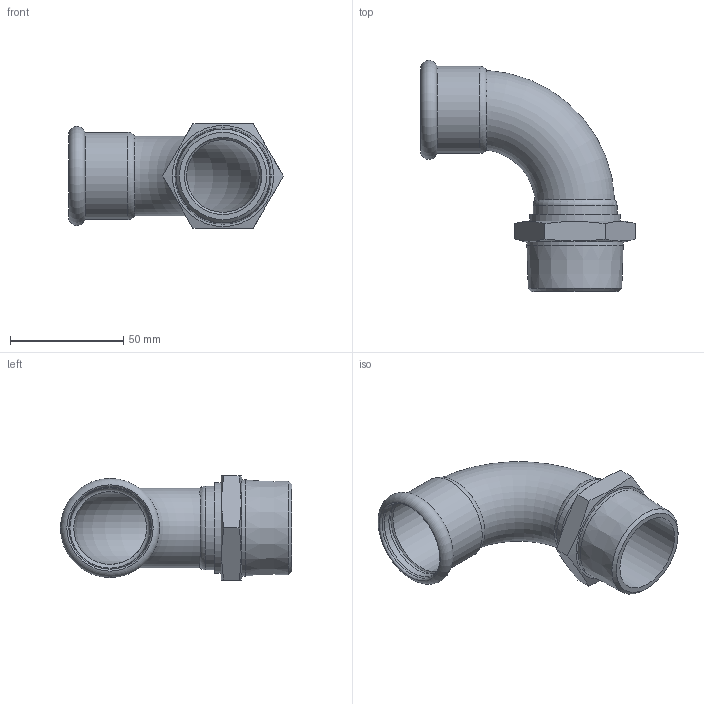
import cadquery as cq
import math

tube_radius = 35.0 / 2
tube_bore_radius = 32.0 / 2
bend_radius = 42.0
shoulder_overlap = 0.3

socket_mouth = 68.0
socket_radius = 38.4 / 2
socket_bore_radius = 35.4 / 2
socket_depth = 26.0
socket_shoulder_round = 3.68
bead_radius = 43.68 / 2
bead_width = 7.2
bead_face_radius = 38.0 / 2
mouth_radius = 36.6 / 2
mouth_round_depth = 1.1
seal_radius = 35.8 / 2
seal_start = 2.0
seal_end = 4.9
groove_radius = 37.0 / 2
groove_back = 6.6

outlet_face = 80.0
collar_radius = 37.0 / 2
collar_end = 42.1
collar_shoulder_round = 3.6
flange_radius = 40.0 / 2
flange_start = 46.0
hex_start = 49.0
hex_end = 58.0
hex_across_flats = 46.0
hex_chamfer_radius = 44.6 / 2
hex_chamfer_angle = 15.0
thread_radius = 42.4 / 2
thread_start = 59.6
thread_small_radius = 41.2 / 2
thread_chamfer_length = 1.4
thread_end_radius = 38.4 / 2
outlet_bore_radius = 34.0 / 2


def shoulder_arc(radius, height):
    """Length, middle run and middle drop of an arc that leaves a cylinder tangentially."""
    angle = math.acos(1 - height / radius)
    return radius * math.sin(angle), radius * math.sin(angle / 2), radius * (1 - math.cos(angle / 2))


def revolve_inlet(profile):
    """Turn a (x, radius) profile about the inlet axis."""
    return profile.close().revolve(360, (0, 0, 0), (1, 0, 0))


def revolve_outlet(profile):
    """Turn a (radius, y) profile about the outlet axis."""
    return profile.close().revolve(360, (0, 0, 0), (0, 1, 0))


def bend(radius):
    """Quarter-circle sweep of a disc from the inlet axis to the outlet axis."""
    return (
        cq.Workplane("YZ", origin=(-bend_radius, 0, 0))
        .circle(radius)
        .revolve(90, (-bend_radius, 0, 0), (-bend_radius, -1, 0))
    )


def socket_body():
    """Socket with its rolled bead at the mouth and rounded shoulder down to the tube."""
    mouth = -socket_mouth
    inner_radius = tube_radius - shoulder_overlap
    length, run, drop = shoulder_arc(socket_shoulder_round, socket_radius - inner_radius)
    shoulder = mouth + socket_depth
    return revolve_inlet(
        cq.Workplane("XY")
        .moveTo(mouth, 0)
        .lineTo(mouth, bead_face_radius)
        .threePointArc((mouth + bead_width / 2, bead_radius), (mouth + bead_width, socket_radius))
        .lineTo(shoulder, socket_radius)
        .threePointArc((shoulder + run, socket_radius - drop), (shoulder + length, inner_radius))
        .lineTo(shoulder + length, 0)
    )


def socket_bore():
    """Inside of the socket: rounded mouth, seal seat, groove and shoulder."""
    mouth = -socket_mouth
    inner_radius = tube_bore_radius - shoulder_overlap
    shoulder_round = socket_shoulder_round - (socket_radius - socket_bore_radius)
    length, run, drop = shoulder_arc(shoulder_round, socket_bore_radius - inner_radius)
    shoulder = mouth + socket_depth
    mouth_round = bead_face_radius - mouth_radius
    corner = 1 - math.sqrt(0.5)
    return revolve_inlet(
        cq.Workplane("XY")
        .moveTo(mouth, 0)
        .lineTo(mouth, bead_face_radius)
        .threePointArc(
            (mouth + mouth_round_depth * corner, mouth_radius + mouth_round * corner),
            (mouth + mouth_round_depth, mouth_radius),
        )
        .lineTo(mouth + seal_start, seal_radius)
        .lineTo(mouth + seal_end, seal_radius)
        .lineTo(mouth + groove_back, groove_radius)
        .lineTo(mouth + bead_width, socket_bore_radius)
        .lineTo(shoulder, socket_bore_radius)
        .threePointArc((shoulder + run, socket_bore_radius - drop), (shoulder + length, inner_radius))
        .lineTo(shoulder + length, 0)
    )


def outlet_body():
    """Collar, flange and tapered thread blank on the outlet axis."""
    inner_radius = tube_radius - shoulder_overlap
    length, run, drop = shoulder_arc(collar_shoulder_round, collar_radius - inner_radius)
    return revolve_outlet(
        cq.Workplane("XY")
        .moveTo(0, length - collar_end)
        .lineTo(inner_radius, length - collar_end)
        .threePointArc((collar_radius - drop, run - collar_end), (collar_radius, -collar_end))
        .lineTo(collar_radius, -flange_start)
        .lineTo(flange_radius, -flange_start)
        .lineTo(flange_radius, -hex_end)
        .lineTo(thread_radius, -hex_end)
        .lineTo(thread_radius, -thread_start)
        .lineTo(thread_small_radius, thread_chamfer_length - outlet_face)
        .lineTo(thread_end_radius, -outlet_face)
        .lineTo(0, -outlet_face)
    )


def outlet_bore():
    """Straight bore that narrows to the tube bore inside the collar."""
    inner_radius = tube_bore_radius - shoulder_overlap
    shoulder_round = collar_shoulder_round - (collar_radius - outlet_bore_radius)
    length, run, drop = shoulder_arc(shoulder_round, outlet_bore_radius - inner_radius)
    return revolve_outlet(
        cq.Workplane("XY")
        .moveTo(0, length - collar_end)
        .lineTo(inner_radius, length - collar_end)
        .threePointArc((outlet_bore_radius - drop, run - collar_end), (outlet_bore_radius, -collar_end))
        .lineTo(outlet_bore_radius, -outlet_face)
        .lineTo(0, -outlet_face)
    )


def hexagon():
    """Wrench hexagon with both faces chamfered towards the corners."""
    corner_radius = hex_across_flats / 2 / math.cos(math.pi / 6)
    prism = (
        cq.Workplane("XZ", origin=(0, -hex_start, 0))
        .polygon(6, 2 * corner_radius)
        .extrude(hex_end - hex_start)
    )
    chamfer_height = (corner_radius - hex_chamfer_radius) * math.tan(math.radians(hex_chamfer_angle))
    envelope = revolve_outlet(
        cq.Workplane("XY")
        .moveTo(0, -hex_start)
        .lineTo(hex_chamfer_radius, -hex_start)
        .lineTo(corner_radius, -hex_start - chamfer_height)
        .lineTo(corner_radius, -hex_end + chamfer_height)
        .lineTo(hex_chamfer_radius, -hex_end)
        .lineTo(0, -hex_end)
    )
    return prism.intersect(envelope)


body = bend(tube_radius).union(socket_body()).union(outlet_body()).union(hexagon())
result = body.cut(bend(tube_bore_radius)).cut(socket_bore()).cut(outlet_bore())